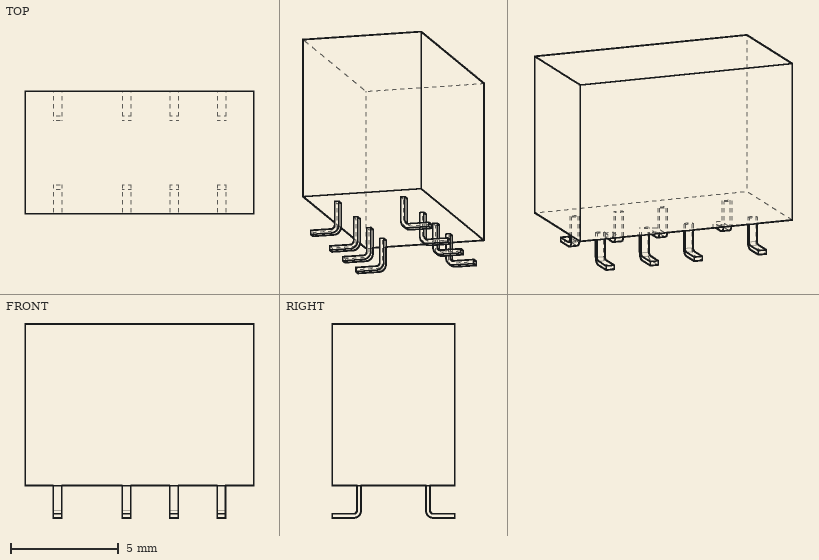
import cadquery as cq

body_length = 10.6
body_width = 5.7
body_height = 7.5
standoff = 1.5

lead_width = 0.4
lead_thickness = 0.2
lead_inner_face_y = 1.5
bend_inner_radius = 0.15
group_pitch = 2.2
leads_in_group = 3
last_lead_x = 3.8
group_lead_xs = [last_lead_x - i * group_pitch for i in range(leads_in_group)]
separate_lead_x = -last_lead_x
lead_xs = [separate_lead_x] + group_lead_xs


def make_body():
    return (
        cq.Workplane("XY")
        .workplane(offset=standoff)
        .rect(body_length, body_width)
        .extrude(body_height)
    )


def make_lead(x):
    """One L-shaped lead on the -Y side, its foot ending flush with the housing."""
    foot_end_y = -body_width / 2
    inner_y = -lead_inner_face_y
    outer_y = inner_y - lead_thickness
    bend_outer_radius = bend_inner_radius + lead_thickness
    bend_top_z = bend_outer_radius
    bend_start_y = inner_y - bend_outer_radius
    return (
        cq.Workplane("YZ")
        .workplane(offset=x - lead_width / 2)
        .moveTo(inner_y, standoff)
        .lineTo(inner_y, bend_top_z)
        .radiusArc((bend_start_y, 0), bend_outer_radius)
        .lineTo(foot_end_y, 0)
        .lineTo(foot_end_y, lead_thickness)
        .lineTo(bend_start_y, lead_thickness)
        .radiusArc((outer_y, bend_top_z), -bend_inner_radius)
        .lineTo(outer_y, standoff)
        .close()
        .extrude(lead_width)
    )


result = make_body()
for lead_x in lead_xs:
    lead = make_lead(lead_x)
    result = result.union(lead).union(lead.mirror("XZ"))